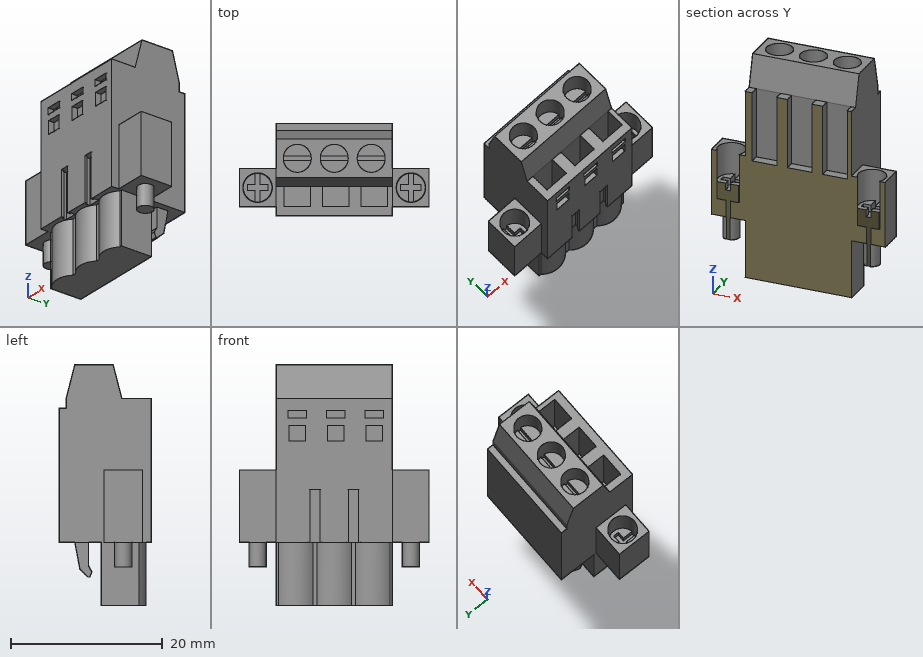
import cadquery as cq


pole_count = 3
pole_pitch = 5.08

end_margin = 0.05
block_width = pole_count * pole_pitch + 2 * end_margin
block_depth = 12.2
total_height = 31.8
plug_height = 8.35
block_top = total_height - plug_height
front_shoulder_z = 19.0
back_shoulder_z = 17.7
back_step_y = 11.27
crown_front_y = 5.05
crown_back_y = 10.13
crown_foot_y = 3.9

plug_back_y = 6.65
plug_flat_y = 1.63
lobe_front_y = 0.7
lobe_width = 4.5

latch_root_front_y = 8.3
latch_neck_z = -3.1
latch_nose_y = 7.85
latch_nose_z = -3.9
latch_tip_z = -4.6
latch_tip_front_y = 8.13
latch_tip_back_y = 8.38
latch_heel_y = 9.46
latch_heel_z = -3.55
latch_end_inset = 1.0

total_width = 25.04
flange_width = (total_width - block_width) / 2
flange_depth = 5.08
flange_front_y = 1.18
flange_height = 9.55
flange_x = (total_width - flange_width) / 2
flange_y = flange_front_y + flange_depth / 2

pocket_offset_x = 0.2
pocket_width = 3.5
pocket_front_y = 1.2
pocket_depth = 10.0
window_depth = 0.9
slot_window_width = 2.4
slot_window_bottom_z = 16.4
slot_window_top_z = 17.4
square_window_width = 2.2
square_window_bottom_z = 13.4
square_window_top_z = 15.45

groove_width = 1.33
groove_height = 7.0
groove_lip = 0.38
groove_inner_width = 1.9
groove_depth = 1.03

terminal_pitch = 4.88
terminal_y = (crown_front_y + crown_back_y) / 2
terminal_diameter = 3.7
terminal_length = 4.0
terminal_sink = 4.0
terminal_slot_width = 0.55
terminal_slot_depth = 1.0

flange_screw_x = 10.12
flange_hole_diameter = 3.9
flange_screw_head_diameter = 3.8
flange_screw_head_height = 2.5
flange_screw_seat_z = 2.5
flange_screw_shank_diameter = 2.3
flange_screw_protrusion = 3.25
cross_long_width = 0.64
cross_short_width = 0.77
cross_short_length = 2.73
cross_depth = 1.0


def positions(count, pitch):
    """Evenly spaced X positions, centred on zero."""
    return [(index - (count - 1) / 2) * pitch for index in range(count)]


def box(center_x, width, y_range, z_range):
    """Box centred on center_x that fills the given Y and Z ranges."""
    depth = y_range[1] - y_range[0]
    height = z_range[1] - z_range[0]
    corner = (center_x - width / 2, y_range[0], z_range[0])
    return cq.Workplane("XY").box(width, depth, height, centered=False).translate(corner)


def cylinder(center_x, center_y, diameter, bottom_z, top_z):
    """Upright cylinder between two heights."""
    base = cq.Workplane("XY").workplane(offset=bottom_z).center(center_x, center_y)
    return base.circle(diameter / 2).extrude(top_z - bottom_z)


def side_profile(points, width):
    """Y-Z outline extruded to the given width, centred on X = 0."""
    return cq.Workplane("YZ").polyline(points).close().extrude(width / 2, both=True)


def make_block():
    return side_profile([
        (0, 0),
        (0, front_shoulder_z),
        (crown_foot_y, front_shoulder_z),
        (crown_front_y, block_top),
        (crown_back_y, block_top),
        (back_step_y, front_shoulder_z),
        (back_step_y, back_shoulder_z),
        (block_depth, back_shoulder_z),
        (block_depth, 0),
    ], block_width)


def make_latch():
    return side_profile([
        (crown_back_y, 0),
        (latch_root_front_y, 0),
        (latch_root_front_y, latch_neck_z),
        (latch_nose_y, latch_nose_z),
        (latch_tip_front_y, latch_tip_z),
        (latch_tip_back_y, latch_tip_z),
        (latch_heel_y, latch_heel_z),
    ], block_width - 2 * latch_end_inset)


def make_plug():
    half_width = block_width / 2
    outline = cq.Workplane("XY").moveTo(-half_width, plug_back_y).lineTo(-half_width, plug_flat_y)
    for x in positions(pole_count, pole_pitch):
        outline = outline.lineTo(x - lobe_width / 2, plug_flat_y)
        outline = outline.threePointArc((x, lobe_front_y), (x + lobe_width / 2, plug_flat_y))
    outline = outline.lineTo(half_width, plug_flat_y).lineTo(half_width, plug_back_y).close()
    return outline.extrude(-plug_height)


def cut_wire_entries(body):
    """Wire pocket, slot window and square window of each pole."""
    for pole_x in positions(pole_count, pole_pitch):
        x = pole_x + pocket_offset_x
        pocket_z = (front_shoulder_z - pocket_depth, front_shoulder_z)
        slot_z = (slot_window_bottom_z, slot_window_top_z)
        square_z = (square_window_bottom_z, square_window_top_z)
        body = body.cut(box(x, pocket_width, (pocket_front_y, crown_foot_y), pocket_z))
        body = body.cut(box(x, slot_window_width, (0, window_depth), slot_z))
        body = body.cut(box(x, square_window_width, (0, window_depth), square_z))
    return body


def cut_grooves(body):
    groove_z = (0, groove_height)
    for x in positions(pole_count - 1, pole_pitch):
        body = body.cut(box(x, groove_width, (0, groove_lip), groove_z))
        body = body.cut(box(x, groove_inner_width, (groove_lip, groove_depth), groove_z))
    return body


def make_housing():
    body = make_block().union(make_plug()).union(make_latch())
    flange_y_range = (flange_front_y, flange_front_y + flange_depth)
    for x in (-flange_x, flange_x):
        body = body.union(box(x, flange_width, flange_y_range, (0, flange_height)))
    body = cut_grooves(cut_wire_entries(body))
    terminal_hole_bottom = block_top - terminal_sink - terminal_length
    for x in positions(pole_count, terminal_pitch):
        body = body.cut(cylinder(x, terminal_y, terminal_diameter, terminal_hole_bottom, block_top))
    for x in (-flange_screw_x, flange_screw_x):
        body = body.cut(cylinder(x, flange_y, flange_screw_shank_diameter, 0, flange_screw_seat_z))
        body = body.cut(
            cylinder(x, flange_y, flange_hole_diameter, flange_screw_seat_z, flange_height)
        )
    return body


def make_terminal_screw(x):
    """Slotted screw that fills the bottom of its hole in the crown."""
    top_z = block_top - terminal_sink
    slot_y = (terminal_y - terminal_slot_width / 2, terminal_y + terminal_slot_width / 2)
    screw = cylinder(x, terminal_y, terminal_diameter, top_z - terminal_length, top_z)
    return screw.cut(box(x, terminal_diameter, slot_y, (top_z - terminal_slot_depth, top_z)))


def make_flange_screw(x):
    """Cross-slotted screw whose head rests on the seat in the flange."""
    top_z = flange_screw_seat_z + flange_screw_head_height
    cross_z = (top_z - cross_depth, top_z)
    head_radius = flange_screw_head_diameter / 2
    long_y = (flange_y - head_radius, flange_y + head_radius)
    short_y = (flange_y - cross_short_width / 2, flange_y + cross_short_width / 2)
    head = cylinder(x, flange_y, flange_screw_head_diameter, flange_screw_seat_z, top_z)
    shank = cylinder(
        x, flange_y, flange_screw_shank_diameter, -flange_screw_protrusion, flange_screw_seat_z
    )
    screw = head.union(shank)
    screw = screw.cut(box(x, cross_long_width, long_y, cross_z))
    return screw.cut(box(x, cross_short_length, short_y, cross_z))


housing = make_housing()
terminal_screws = [make_terminal_screw(x) for x in positions(pole_count, terminal_pitch)]
flange_screws = [make_flange_screw(x) for x in (-flange_screw_x, flange_screw_x)]

result = cq.Compound.makeCompound([
    housing.val(),
    *[screw.val() for screw in terminal_screws],
    *[screw.val() for screw in flange_screws],
])